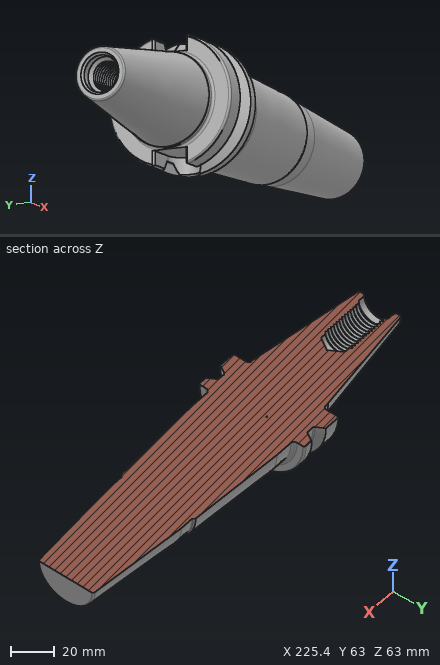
import cadquery as cq
import math


TAPER_RATIO = 7 / 24
GAUGE_RADIUS = 22.225
SHANK_LENGTH = 65.4
SHANK_END_FILLET = 0.7
SHANK_END_ARC = 0.8
COLLAR_RADIUS = GAUGE_RADIUS
COLLAR_START = -1.7
COLLAR_STEP_LENGTH = 0.5
COLLAR_FILLET = 1.2

FLANGE_RADIUS = 31.5
FLANGE_START = 2.0
FLANGE_END = 27.0
FLANGE_EDGE_RADIUS = 1.0
GROOVE_CENTER = 16.6
GROOVE_FLOOR_RADIUS = 26.5
GROOVE_FLOOR_WIDTH = 4.4
GROOVE_FLANK_ANGLE = 30.0
GROOVE_FLOOR_FILLET = 1.0

KEYWAY_WIDTH = 16.1
KEYWAY_FLOOR = 22.6
KEYWAY_END = 23.3
KEYWAY_EDGE_CHAMFER = 1.0

BODY_RADIUS = 25.0
BODY_FILLET = 2.0
BODY_TAPER_START = 39.0
BODY_TAPER_ANGLE = 3.0
BODY_END = 93.5
BODY_STEP_ANGLE = 45.0
BODY_STEP_FILLET = 0.8
NOSE_RADIUS = 21.0
NOSE_TAPER_START = 102.7
NOSE_TAPER_ANGLE = 4.5
NOSE_END = 160.0
NOSE_END_FILLET = 1.0

COUNTERSINK_RADIUS = 9.8
COUNTERBORE_RADIUS = 8.7
COUNTERBORE_DEPTH = 5.0
THREAD_MINOR_RADIUS = 6.9
THREAD_MAJOR_RADIUS = 8.0
THREAD_PITCH = 2.0
THREAD_TURNS = 12
BORE_DEPTH = 34.0
DRILL_POINT_ANGLE = 118.0


def taper_drop(length, angle):
    """Radius lost over an axial length at a given half angle in degrees."""
    return length * math.tan(math.radians(angle))


def taper_radius(x):
    """Radius of the steep taper at axial position x."""
    return GAUGE_RADIUS + x * TAPER_RATIO / 2


def turned_body():
    """Solid of revolution: shank, flange, body and nose."""
    shank_end = -SHANK_LENGTH
    shank_edge = shank_end + SHANK_END_FILLET
    body_end_radius = BODY_RADIUS - taper_drop(BODY_END - BODY_TAPER_START, BODY_TAPER_ANGLE)
    nose_end_radius = NOSE_RADIUS - taper_drop(NOSE_END - NOSE_TAPER_START, NOSE_TAPER_ANGLE)
    slope = math.radians(BODY_STEP_ANGLE)
    step_foot = BODY_END + (body_end_radius - NOSE_RADIUS) / math.tan(slope)
    fillet_reach = BODY_STEP_FILLET * math.tan(slope / 2)
    outline = (
        cq.Workplane("XY")
        .moveTo(shank_end, 0)
        .lineTo(shank_end, taper_radius(shank_end) - SHANK_END_FILLET)
        .radiusArc((shank_edge, taper_radius(shank_edge)), SHANK_END_ARC)
        .lineTo(COLLAR_START, taper_radius(COLLAR_START))
        .lineTo(COLLAR_START + COLLAR_STEP_LENGTH, COLLAR_RADIUS)
        .lineTo(FLANGE_START - COLLAR_FILLET, COLLAR_RADIUS)
        .radiusArc((FLANGE_START, COLLAR_RADIUS + COLLAR_FILLET), -COLLAR_FILLET)
        .lineTo(FLANGE_START, FLANGE_RADIUS - FLANGE_EDGE_RADIUS)
        .radiusArc((FLANGE_START + FLANGE_EDGE_RADIUS, FLANGE_RADIUS), FLANGE_EDGE_RADIUS)
        .lineTo(FLANGE_END - FLANGE_EDGE_RADIUS, FLANGE_RADIUS)
        .radiusArc((FLANGE_END, FLANGE_RADIUS - FLANGE_EDGE_RADIUS), FLANGE_EDGE_RADIUS)
        .lineTo(FLANGE_END, BODY_RADIUS + BODY_FILLET)
        .radiusArc((FLANGE_END + BODY_FILLET, BODY_RADIUS), -BODY_FILLET)
        .lineTo(BODY_TAPER_START, BODY_RADIUS)
        .lineTo(BODY_END, body_end_radius)
        .lineTo(step_foot - fillet_reach * math.cos(slope), NOSE_RADIUS + fillet_reach * math.sin(slope))
        .radiusArc((step_foot + fillet_reach, NOSE_RADIUS), -BODY_STEP_FILLET)
        .lineTo(NOSE_TAPER_START, NOSE_RADIUS)
        .lineTo(NOSE_END - NOSE_END_FILLET, nose_end_radius)
        .radiusArc((NOSE_END, nose_end_radius - NOSE_END_FILLET), NOSE_END_FILLET)
        .lineTo(NOSE_END, 0)
        .close()
    )
    return outline.revolve(360, (0, 0, 0), (1, 0, 0))


def gripper_groove():
    """Ring with sloping flanks that cuts the groove round the flange."""
    half_floor = GROOVE_FLOOR_WIDTH / 2
    half_mouth = half_floor + taper_drop(FLANGE_RADIUS - GROOVE_FLOOR_RADIUS, GROOVE_FLANK_ANGLE)
    outline = cq.Workplane("XY").polyline([
        (GROOVE_CENTER - half_floor, GROOVE_FLOOR_RADIUS),
        (GROOVE_CENTER + half_floor, GROOVE_FLOOR_RADIUS),
        (GROOVE_CENTER + half_mouth, FLANGE_RADIUS),
        (GROOVE_CENTER - half_mouth, FLANGE_RADIUS),
    ]).close()
    ring = outline.revolve(360, (0, 0, 0), (1, 0, 0))
    floor_edges = cq.selectors.RadiusNthSelector(0)
    return ring.edges(floor_edges).fillet(GROOVE_FLOOR_FILLET)


def keyway():
    """Upper keyway cutter: round inner end, edges broken at the mouth and along the rim."""
    half = KEYWAY_WIDTH / 2
    depth = FLANGE_RADIUS - KEYWAY_FLOOR
    wide = half + KEYWAY_EDGE_CHAMFER
    slot = (
        cq.Workplane("XY", origin=(0, 0, KEYWAY_FLOOR))
        .moveTo(FLANGE_START, -wide)
        .lineTo(FLANGE_START + KEYWAY_EDGE_CHAMFER, -half)
        .lineTo(KEYWAY_END - half, -half)
        .threePointArc((KEYWAY_END, 0), (KEYWAY_END - half, half))
        .lineTo(FLANGE_START + KEYWAY_EDGE_CHAMFER, half)
        .lineTo(FLANGE_START, wide)
        .lineTo(FLANGE_START - COLLAR_FILLET, wide)
        .lineTo(FLANGE_START - COLLAR_FILLET, -wide)
        .close()
        .extrude(depth)
    )
    rim_corner = math.sqrt(FLANGE_RADIUS ** 2 - wide ** 2)
    rim_break = (
        cq.Workplane("YZ", origin=(FLANGE_START, 0, 0))
        .polyline([
            (-half, rim_corner - KEYWAY_EDGE_CHAMFER),
            (half, rim_corner - KEYWAY_EDGE_CHAMFER),
            (wide, rim_corner),
            (wide, FLANGE_RADIUS),
            (-wide, FLANGE_RADIUS),
            (-wide, rim_corner),
        ])
        .close()
        .extrude(GROOVE_CENTER - FLANGE_START)
    )
    end_break = (
        cq.Workplane("XY", origin=(KEYWAY_END - half, 0, FLANGE_RADIUS))
        .circle(wide)
        .workplane(offset=-KEYWAY_EDGE_CHAMFER)
        .circle(half)
        .loft(ruled=True)
    )
    return slot.union(rim_break).union(end_break)


def threaded_bore():
    """Bore cutter: countersink, counterbore, ring-shaped thread grooves and drill point."""
    mouth = -SHANK_LENGTH
    countersink_depth = COUNTERSINK_RADIUS - COUNTERBORE_RADIUS
    thread_start = mouth + COUNTERBORE_DEPTH
    thread_taper = COUNTERBORE_RADIUS - THREAD_MINOR_RADIUS
    bore_end = mouth + BORE_DEPTH
    tip = bore_end + THREAD_MINOR_RADIUS / math.tan(math.radians(DRILL_POINT_ANGLE / 2))
    outline = (
        cq.Workplane("XY")
        .moveTo(mouth, 0)
        .lineTo(mouth, COUNTERSINK_RADIUS)
        .lineTo(mouth + countersink_depth, COUNTERBORE_RADIUS)
        .lineTo(thread_start, COUNTERBORE_RADIUS)
        .lineTo(thread_start + thread_taper, THREAD_MINOR_RADIUS)
    )
    first_groove = thread_start + thread_taper
    for turn in range(THREAD_TURNS):
        groove_start = first_groove + turn * THREAD_PITCH
        outline = (
            outline
            .lineTo(groove_start + THREAD_PITCH / 2, THREAD_MAJOR_RADIUS)
            .lineTo(groove_start + THREAD_PITCH, THREAD_MINOR_RADIUS)
        )
    outline = outline.lineTo(bore_end, THREAD_MINOR_RADIUS).lineTo(tip, 0).close()
    return outline.revolve(360, (0, 0, 0), (1, 0, 0))


upper_keyway = keyway()
lower_keyway = upper_keyway.rotate((0, 0, 0), (1, 0, 0), 180)

result = (
    turned_body()
    .cut(gripper_groove())
    .cut(upper_keyway)
    .cut(lower_keyway)
    .cut(threaded_bore())
)